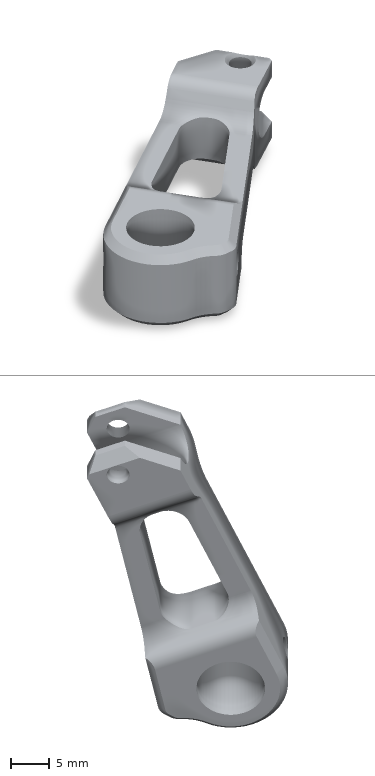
import cadquery as cq
import math


HUB_RADIUS = 7.5
HUB_HEIGHT = 11.05
BORE_RADIUS = 4.5
HUB_CHAMFER = 1.0

LENGTH = 48.5
TIP_Y = LENGTH - HUB_RADIUS
FORK_LEFT_X = -7.8
FORK_RIGHT_X = 4.0
TIP_LEFT_X = -2.25
TIP_RIGHT_X = 2.0
FORK_CORNER_Y = TIP_Y - (TIP_LEFT_X - FORK_LEFT_X)
FLARE_Y = 30.95
LUG_X = 10.35
LUG_Y = 0.2
LUG_NOSE = (10.1, -1.4)
LUG_SHOULDER = (9.6, -2.15)
LUG_ROOT = (8.4, -3.05)
HUB_END_X = 5.7

ARM_TOP = HUB_HEIGHT - HUB_CHAMFER
ARM_BOTTOM = 4.0
FORK_TOP = 13.75
FORK_BOTTOM = 1.7
FORK_TOP_END_Y = 31.1
FORK_BOTTOM_END_Y = 30.8
FORK_TOP_SLOPE = math.radians(53)
FORK_BOTTOM_SLOPE = math.radians(45)
FORK_TOP_SHOULDER_RADIUS = 2.5
FORK_BOTTOM_SHOULDER_RADIUS = 2.7
FORK_TOP_ROOT_RADIUS = 3.9
FORK_BOTTOM_ROOT_RADIUS = 0.95
TIP_CHAMFER = 1.5

RAMP_START_Y = 10.95
RAMP_MIDDLE_Y = 9.05
RAMP_END_Y = 7.9
STEP_Y = 9.5
STEP_SLOPE = math.radians(70)
STEP_ROOT_RADIUS = 2.4
STEP_EDGE_RADIUS = 1.8

FORK_SLOT_WIDTH = 6.9
FORK_SLOT_END_Y = 32.65
FORK_SLOT_RADIUS = 2.95

WINDOW_WALL = 3.0
WINDOW_BOTTOM_Y = 9.15
WINDOW_TOP_Y = 28.2
WINDOW_RADIUS = 3.0

HOLE_RADIUS = 1.5
COUNTERSINK_RADIUS = 2.05
FORK_HOLE_Y = 37.95
CROSS_HOLE_Z = 6.3
CROSS_HOLE_ANGLE = 10
COUNTERBORE_RADIUS = 1.75
COUNTERBORE_START = 5.8

MARGIN = 4.85


def left_edge_x(y):
    """X of the straight left edge, which leans from the fork to the hub."""
    return -HUB_RADIUS + (FORK_LEFT_X + HUB_RADIUS) * y / FORK_CORNER_Y


def right_edge_x(y):
    """X of the flared right edge."""
    return LUG_X + (FORK_RIGHT_X - LUG_X) * (y - LUG_Y) / (FLARE_Y - LUG_Y)


def plan_outline():
    lean = math.atan((left_edge_x(0) - FORK_LEFT_X) / FORK_CORNER_Y)
    hub_start = (-HUB_RADIUS * math.cos(lean), -HUB_RADIUS * math.sin(lean))
    hub_end = (HUB_END_X, -math.sqrt(HUB_RADIUS**2 - HUB_END_X**2))
    return (
        cq.Workplane("XY")
        .moveTo(*hub_start)
        .threePointArc((0, -HUB_RADIUS), hub_end)
        .tangentArcPoint(LUG_ROOT, relative=False)
        .tangentArcPoint(LUG_SHOULDER, relative=False)
        .lineTo(*LUG_NOSE)
        .tangentArcPoint((LUG_X, LUG_Y), relative=False)
        .lineTo(FORK_RIGHT_X, FLARE_Y)
        .lineTo(FORK_RIGHT_X, TIP_Y - (FORK_RIGHT_X - TIP_RIGHT_X))
        .lineTo(TIP_RIGHT_X, TIP_Y)
        .lineTo(TIP_LEFT_X, TIP_Y)
        .lineTo(FORK_LEFT_X, FORK_CORNER_Y)
        .close()
    )


def plan_body():
    """Chamfered plate for hub and arm, joined to a full-height fork block."""
    plate = plan_outline().extrude(HUB_HEIGHT).faces("<Z or >Z").chamfer(HUB_CHAMFER)
    fork_length = TIP_Y - RAMP_START_Y
    fork_zone = cq.Workplane("XY").box(LENGTH, fork_length, FORK_TOP, centered=(True, False, False))
    fork = plan_outline().extrude(FORK_TOP).intersect(fork_zone.translate((0, RAMP_START_Y, 0)))
    return plate.union(fork)


def side_body():
    """Side profile of the whole part, swept across its width."""
    top_root_y = FORK_TOP_END_Y - (FORK_TOP - ARM_TOP) / math.tan(FORK_TOP_SLOPE)
    bottom_root_y = FORK_BOTTOM_END_Y - (ARM_BOTTOM - FORK_BOTTOM) / math.tan(FORK_BOTTOM_SLOPE)
    step_end_y = STEP_Y - ARM_BOTTOM / math.tan(STEP_SLOPE)

    ramp_length = RAMP_START_Y - RAMP_END_Y
    ramp_half_angle = math.atan(HUB_CHAMFER / ramp_length)
    ramp_middle_z = ARM_TOP + (RAMP_START_Y - RAMP_MIDDLE_Y) * math.tan(ramp_half_angle)

    body = (
        cq.Workplane("YZ")
        .moveTo(-HUB_RADIUS, 0)
        .lineTo(step_end_y, 0)
        .lineTo(STEP_Y, ARM_BOTTOM)
        .lineTo(bottom_root_y, ARM_BOTTOM)
        .lineTo(FORK_BOTTOM_END_Y, FORK_BOTTOM)
        .lineTo(TIP_Y - TIP_CHAMFER, FORK_BOTTOM)
        .lineTo(TIP_Y, FORK_BOTTOM + TIP_CHAMFER)
        .lineTo(TIP_Y, FORK_TOP - TIP_CHAMFER)
        .lineTo(TIP_Y - TIP_CHAMFER, FORK_TOP)
        .lineTo(FORK_TOP_END_Y, FORK_TOP)
        .lineTo(top_root_y, ARM_TOP)
        .lineTo(RAMP_START_Y, ARM_TOP)
        .tangentArcPoint((RAMP_MIDDLE_Y, ramp_middle_z), relative=False)
        .tangentArcPoint((RAMP_END_Y, HUB_HEIGHT), relative=False)
        .lineTo(-HUB_RADIUS, HUB_HEIGHT)
        .close()
        .extrude(LENGTH / 2, both=True)
    )
    rounded_corners = [
        (step_end_y, 0, STEP_EDGE_RADIUS),
        (STEP_Y, ARM_BOTTOM, STEP_ROOT_RADIUS),
        (bottom_root_y, ARM_BOTTOM, FORK_BOTTOM_ROOT_RADIUS),
        (FORK_BOTTOM_END_Y, FORK_BOTTOM, FORK_BOTTOM_SHOULDER_RADIUS),
        (FORK_TOP_END_Y, FORK_TOP, FORK_TOP_SHOULDER_RADIUS),
        (top_root_y, ARM_TOP, FORK_TOP_ROOT_RADIUS),
    ]
    for y, z, radius in rounded_corners:
        body = body.edges(cq.NearestToPointSelector((0, y, z))).fillet(radius)
    return body


def fork_slot():
    slot_length = TIP_Y + MARGIN - FORK_SLOT_END_Y
    return (
        cq.Workplane("XY")
        .box(LENGTH, slot_length, FORK_SLOT_WIDTH, centered=(True, False, True))
        .edges("|X and <Y")
        .fillet(FORK_SLOT_RADIUS)
        .translate((0, FORK_SLOT_END_Y, (FORK_TOP + FORK_BOTTOM) / 2))
    )


def arm_window():
    """Tapered window whose sides stay one wall thickness inside the arm edges."""
    flare = math.atan((LUG_X - FORK_RIGHT_X) / (FLARE_Y - LUG_Y))
    right_wall = WINDOW_WALL / math.cos(flare)
    corners = [
        (left_edge_x(WINDOW_BOTTOM_Y) + WINDOW_WALL, WINDOW_BOTTOM_Y),
        (right_edge_x(WINDOW_BOTTOM_Y) - right_wall, WINDOW_BOTTOM_Y),
        (right_edge_x(WINDOW_TOP_Y) - right_wall, WINDOW_TOP_Y),
        (left_edge_x(WINDOW_TOP_Y) + WINDOW_WALL, WINDOW_TOP_Y),
    ]
    return cq.Workplane("XY").polyline(corners).close().extrude(FORK_TOP).edges("|Z").fillet(WINDOW_RADIUS)


def fork_hole():
    """Hole through both prongs, countersunk from the top."""
    drill = cq.Workplane("XY").circle(HOLE_RADIUS).extrude(FORK_TOP)
    depth = COUNTERSINK_RADIUS - HOLE_RADIUS
    cone = cq.Solid.makeCone(HOLE_RADIUS, COUNTERSINK_RADIUS, depth, cq.Vector(0, 0, FORK_TOP - depth))
    return drill.union(cq.Workplane(cone)).translate((0, FORK_HOLE_Y, 0))


def cross_hole():
    """Radial hole through both hub walls, turned about the bore and counterbored beside the lug."""
    reach = LUG_X + MARGIN
    drill = cq.Workplane("YZ").circle(HOLE_RADIUS).extrude(reach, both=True)
    counterbore = cq.Workplane("YZ").circle(COUNTERBORE_RADIUS).extrude(reach)
    hole = drill.union(counterbore.translate((COUNTERBORE_START, 0, 0))).translate((0, 0, CROSS_HOLE_Z))
    return hole.rotate((0, 0, 0), (0, 0, 1), CROSS_HOLE_ANGLE)


bore = cq.Workplane("XY").circle(BORE_RADIUS).extrude(HUB_HEIGHT)

result = plan_body().intersect(side_body())
for cutter in (bore, fork_slot(), arm_window(), fork_hole(), cross_hole()):
    result = result.cut(cutter)